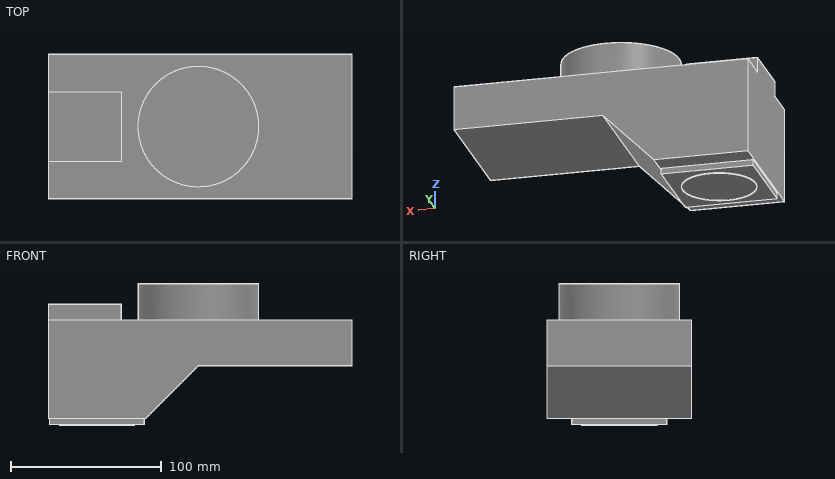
import cadquery as cq

body_length = 201.5
body_width = 96.0
arm_thickness = 30.5
head_depth = 65.5
head_length = 64.5
slope_run = head_depth - arm_thickness

boss_diameter = 80.0
boss_height = 24.0
boss_x = head_length + slope_run

step_length = 48.5
step_width = 46.0
step_height = 10.5

plate_side = 63.0
plate_thickness = 4.0
plate_x = head_length / 2
pad_diameter = 50.0
pad_thickness = 0.5


def make_body():
    """Side outline extruded across the width; the top face lies at Z = 0."""
    outline = [
        (0, 0),
        (body_length, 0),
        (body_length, -arm_thickness),
        (head_length + slope_run, -arm_thickness),
        (head_length, -head_depth),
        (0, -head_depth),
    ]
    return cq.Workplane("XZ").polyline(outline).close().extrude(body_width / 2, both=True)


def make_boss():
    return cq.Workplane("XY").center(boss_x, 0).circle(boss_diameter / 2).extrude(boss_height)


def make_step():
    return cq.Workplane("XY").box(step_length, step_width, step_height, centered=(False, True, False))


def make_plate():
    underside = cq.Workplane("XY", origin=(plate_x, 0, -head_depth))
    return underside.rect(plate_side, plate_side).extrude(-plate_thickness)


def make_pad():
    underside = cq.Workplane("XY", origin=(plate_x, 0, -head_depth - plate_thickness))
    return underside.circle(pad_diameter / 2).extrude(-pad_thickness)


result = make_body()
for feature in (make_boss(), make_step(), make_plate(), make_pad()):
    result = result.union(feature)